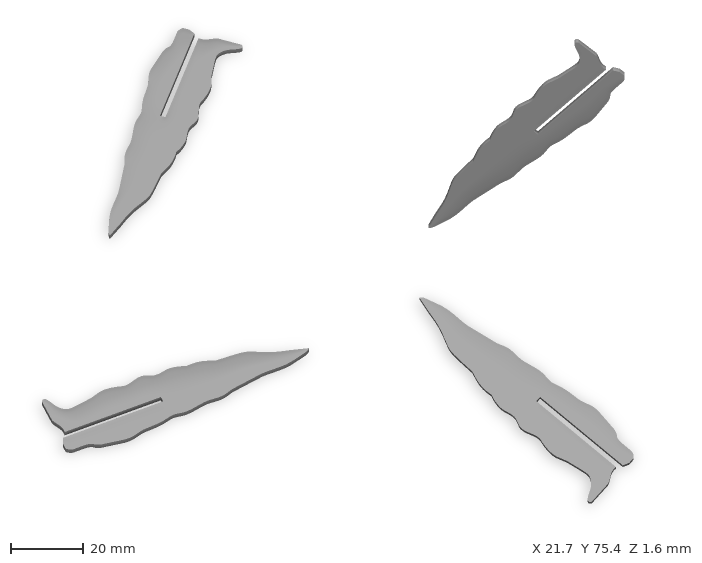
import cadquery as cq
import math


width = 21.65
length = 75.36
thickness = 1.6

slot_width = thickness
slot_floor_y = 44.2

left_x = -8.33
right_x = left_x + width

prong_side_x = -5.5
prong_side_bottom_y = 70.4
prong_side_top_y = 73.6
prong_flat_start_x = -4.4
prong_flat_end_x = -2.5
prong_corner_mid = (-5.1, 74.6)
prong_slot_y = 74.5

hook_top_y = 74.9
hook_flat_start_x = 5.9
hook_slot_y = 73.4
nose_radius = 0.75
nose_end_angle = math.radians(-50)

point = (-0.75, 0)

left_wave = [
    (-1.2, 0.5), (-1.9, 2.3), (-2.6, 4.8), (-3.2, 7.9), (-3.3, 10.9), (-3.3, 15.2),
    (-3.9, 19.1), (-4.4, 22.7), (-4.9, 25.4), (-5.5, 27.2), (-5.8, 29.5), (-5.6, 32.2),
    (-5.7, 34.1), (-6.1, 36.3), (-6.5, 39.0), (-6.4, 41.3), (-6.1, 43.4), (-6.6, 45.9),
    (-7.0, 47.9), (-7.2, 50.9), (-7.4, 53.6), (-8.0, 55.8), (left_x, 58.1), (-7.9, 61.3),
    (-7.5, 64.0), (-7.0, 66.3), (-6.5, 67.3), (-6.0, 67.9), (-5.6, 69.0),
    (prong_side_x, prong_side_bottom_y),
]

hook_rise = [(1.9, 73.3), (2.8, 73.5), (4.7, 74.4), (hook_flat_start_x, hook_top_y)]

right_stretches = [
    [(12.1, 73.0), (9.9, 72.0), (8.4, 70.8), (7.6, 69.5), (7.5, 67.9), (7.9, 64.9),
     (8.3, 62.2), (8.9, 60.2), (9.3, 58.8), (9.3, 55.8), (8.9, 53.8), (8.4, 52.2)],
    [(8.7, 49.7), (9.3, 47.7), (9.3, 45.4), (8.8, 44.3), (8.3, 43.1)],
    [(8.3, 40.9), (8.7, 38.6), (8.5, 36.5), (8.1, 35.0), (7.5, 33.6)],
    [(7.6, 31.3), (7.3, 29.1), (6.7, 27.2), (5.9, 25.2)],
    [(5.8, 22.2), (5.6, 19.5), (5.1, 16.1), (4.0, 13.8), (2.4, 10.4), (1.5, 7.9),
     (0.8, 5.2), (-0.1, 2.3), point],
]


def nose_point(angle):
    """Point on the round nose of the hook, with the angle measured from +X."""
    center_x = right_x - nose_radius
    center_y = hook_top_y - nose_radius
    return (center_x + nose_radius * math.cos(angle), center_y + nose_radius * math.sin(angle))


def draw_left_side(sketch):
    """Add the left edge and the top of the left prong, up to the slot."""
    return (
        sketch.spline(left_wave, includeCurrent=True)
        .lineTo(prong_side_x, prong_side_top_y)
        .threePointArc(prong_corner_mid, (prong_flat_start_x, length))
        .lineTo(prong_flat_end_x, length)
        .lineTo(-slot_width / 2, prong_slot_y)
    )


def draw_slot(sketch):
    """Add the open-ended slot between the two prongs."""
    return (
        sketch.lineTo(-slot_width / 2, slot_floor_y)
        .lineTo(slot_width / 2, slot_floor_y)
        .lineTo(slot_width / 2, hook_slot_y)
    )


def draw_hook_top(sketch):
    """Add the top of the hook and its round nose."""
    return (
        sketch.spline(hook_rise, includeCurrent=True)
        .lineTo(*nose_point(math.pi / 2))
        .threePointArc(nose_point(0), nose_point(nose_end_angle))
    )


def draw_right_side(sketch):
    """Add the right edge, one smooth stretch at a time, down to the point."""
    for stretch in right_stretches:
        sketch = sketch.spline(stretch, includeCurrent=True)
    return sketch


outline = cq.Workplane("XY").moveTo(*point)
outline = draw_left_side(outline)
outline = draw_slot(outline)
outline = draw_hook_top(outline)
outline = draw_right_side(outline)

result = outline.close().extrude(thickness)